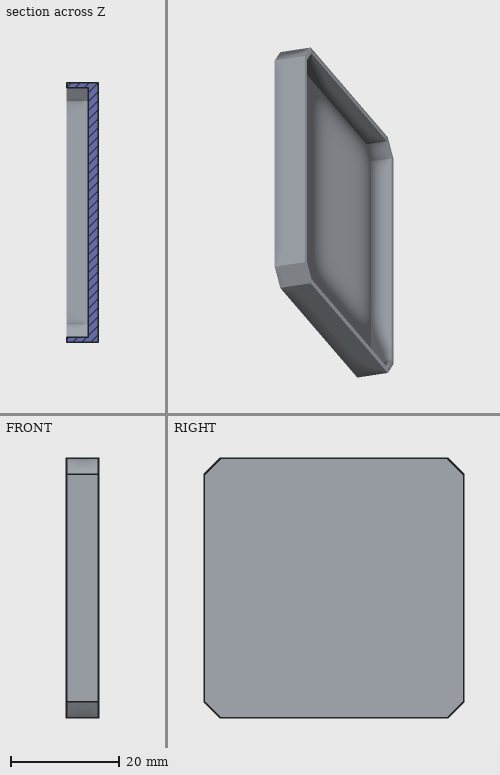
import cadquery as cq
import math

side = 48.0
thickness = 6.0
corner_chamfer = 3.0
wall = 1.0
floor_thickness = 2.0

pocket_depth = thickness - floor_thickness
pocket_side = side - 2 * wall
pocket_chamfer = corner_chamfer - wall * (2 - math.sqrt(2))


def chamfered_plate(plate_side, plate_thickness, chamfer):
    """Square plate from x = 0 to plate_thickness, with its four corners cut at 45 degrees."""
    plate = cq.Workplane("YZ").rect(plate_side, plate_side).extrude(plate_thickness)
    return plate.edges("|X").chamfer(chamfer)


body = chamfered_plate(side, thickness, corner_chamfer)
pocket = chamfered_plate(pocket_side, pocket_depth, pocket_chamfer)

result = body.cut(pocket)